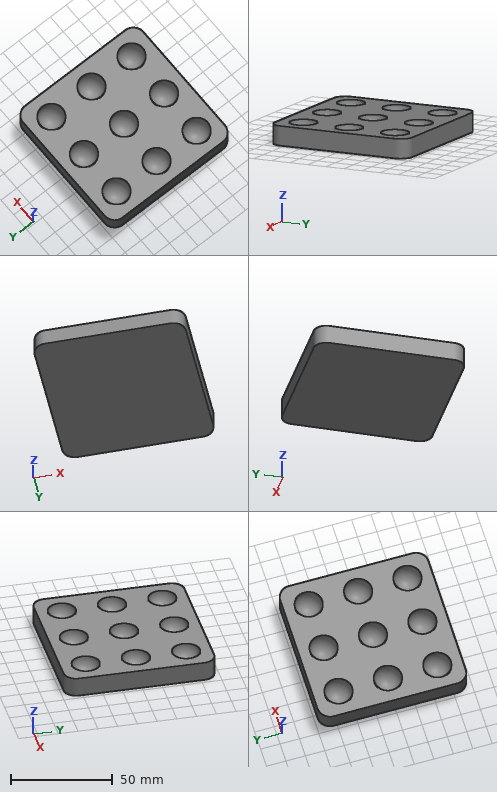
import cadquery as cq

side = 76.2
thickness = 10.0
dimples_per_side = 3
pitch = side / dimples_per_side
corner_radius = pitch / 4

dimple_radius = 7.0


def make_plate():
    """Square plate with rounded vertical corners, resting on Z = 0."""
    plate = cq.Workplane("XY").box(side, side, thickness, centered=(True, True, False))
    return plate.edges("|Z").fillet(corner_radius)


def make_dimples():
    """Square grid of spheres, one in the middle of each equal cell of the plate."""
    return (
        cq.Workplane("XY")
        .workplane(offset=thickness)
        .rarray(pitch, pitch, dimples_per_side, dimples_per_side)
        .sphere(dimple_radius)
    )


result = make_plate().cut(make_dimples())